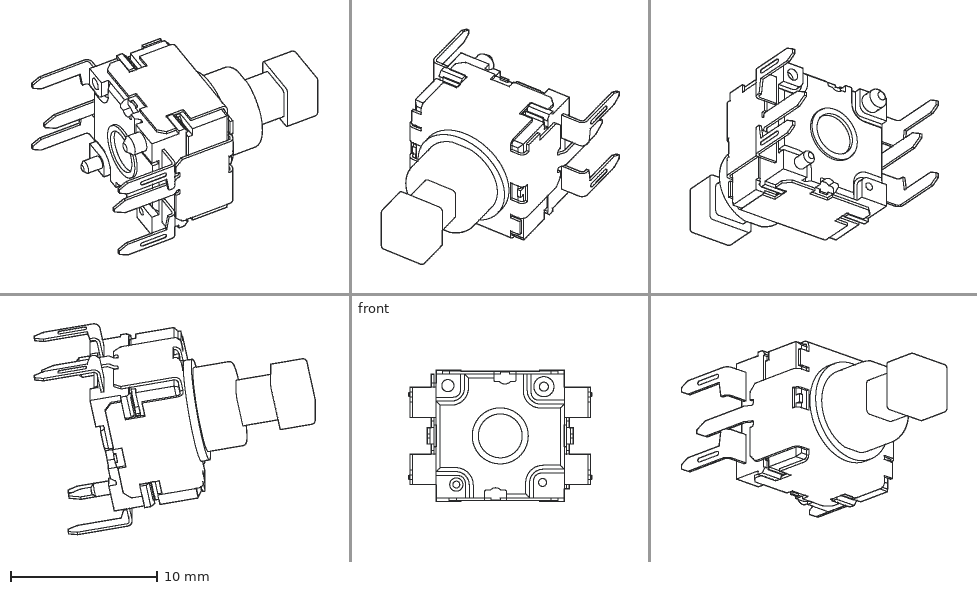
import cadquery as cq
import math

SHEET = 0.2
BEND_OUTER = 0.43
BEND_INNER = BEND_OUTER - SHEET

BODY_HALF_X = 4.38
BODY_HALF_Z = 4.24
BODY_BACK = 6.14
BODY_BACK_CHAMFER = 0.27
GROOVE_FLOOR = 0.55
FACE_Y = 0.22
FACE_SLOPE = 0.27
PAD_MARGIN = 0.27
PAD_RADIUS = 0.5
GROOVE_RADIUS = 0.92
PADS = [(-2.72, 2.65), (2.12, 2.45), (-2.39, -2.72), (2.28, -2.55)]

LARGE_PEG = (2.99, 3.37)
LARGE_PEG_RADIUS = 0.69
LARGE_PEG_TAPER = -0.9
LARGE_PEG_TIP_RADIUS = 0.3
SMALL_PEG = (-3.0, -3.33)
SMALL_PEG_RADIUS = 0.45
SMALL_PEG_TAPER = -1.09
SMALL_PEG_TIP_RADIUS = 0.24
PEG_TIP = -1.32
LARGE_HOLE = (-3.58, 3.44)
LARGE_HOLE_RADIUS = 0.42
SMALL_HOLE = (2.9, -3.19)
SMALL_HOLE_RADIUS = 0.27
HOLE_DEPTH = 0.55

RING_OUTER_R = 1.92
RING_INNER_R = 1.5
RING_TOP = 0.04
RING_FLOOR = 0.33

JOINT_START = 2.7
JOINT_END = 2.86
JOINT_DEPTH = 0.33
HOOK_INNER_X = 2.68
HOOK_Z = 4.498
HOOK_START = 2.12
HOOK_CREST = 2.55
HOOK_END = 2.85
HOOK_RAMP = 0.35
SLOT_END = 3.19
SLOT_INNER_X = 2.62
SLOT_FLOOR_Z = 3.64
SLOT_CHAMFER = 0.35
RIB_START_X = 3.62
RIB_Z = 4.42
RIB_END = 5.85

NOTCH_LEFT = -0.43
NOTCH_RIGHT = 1.07
NOTCH_MIDDLE = (NOTCH_LEFT + NOTCH_RIGHT) / 2
NOTCH_FLOOR_Z = 3.71
NOTCH_BACK = 0.8
NOTCH_CORNER_RADIUS = 0.1
NOTCH_BULGE_RADIUS = 0.5
NOTCH_BULGE_Z = 4.05
TOOTH_WIDTH = 0.63
TOOTH_BACK = 0.96
TOOTH_Z = 4.38

FRAME_BACK = BODY_BACK + SHEET
COVER_HALF_X = 3.611
COVER_FRONT = 0.89
COVER_LUG_HALF_X = 3.96
COVER_SHORT_LUG_X = 3.5
COVER_LUG_CHAMFER = 0.49
COVER_NOTCHED_HALF_X = 2.55
COVER_STEP = 3.48
COVER_NOTCH_END = 1.45
FLAP_X = 4.72
FLAP_FRONT = 1.7
FLAP_BOTTOM = -2.1
FLAP_TOP = 3.62
FLAP_CHAMFER = 0.5
FLAP_SLOT_HALF = 0.75
FLAP_SLOT_X = 3.44
FLAP_SLOT_FRONT = 5.86
FLAP_RELIEF_WIDTH = 0.43
FLAP_RELIEF_RADIUS = 0.15
FLAP_RELIEF_END = 2.03
TAB_START = 4.29
TAB_END = 5.72
TAB_TOP = 4.22
EAR_BOTTOM = -3.58
EAR_TOP = -2.39
NUB_HALF = 0.3
NUB_BACK = 6.23

MID_WIDTH = 1.14
MID_JOG = 0.27
MID_JOG_START = 1.81
MID_JOG_END = 1.43
MID_JOG_RADIUS = 0.33
MID_TAPER = -2.43
MID_TIP = -3.25
MID_TIP_WIDTH = 0.27

LEG_X = 6.19
LEG_ARM_BACK = 0.98
LEG_WIDE_END = 0.35
LEG_ROOT = 0.16
LEG_LOW_Z = 1.25
LEG_HIGH_Z = 3.33
LEG_WIDTH = 1.0
LEG_TAPER = -2.9
LEG_TIP = -3.53
LEG_TIP_WIDTH = 0.33
BEAD_HEIGHT = 0.081
BEAD_ROUNDING = 0.07
BEAD_WIDTH = 0.29
BEAD_START = 0.13
BEAD_END = -1.88

FLANGE_DIAMETER = 7.0
FLANGE_BACK = 6.9
BUSHING_DIAMETER = 5.85
BUSHING_FLATS = 5.67
BUSHING_BACK = 9.6
SHAFT_SIDE = 2.5
HEAD_SIDE = 3.51
HEAD_FRONT = 12.09
HEAD_BACK = 14.57
EDGE_RADIUS = 0.29


def box(x0, x1, y0, y1, z0, z1):
    return cq.Workplane("XY").box(x1 - x0, y1 - y0, z1 - z0, centered=False).translate((x0, y0, z0))


def turned_pair(shape):
    """The shape together with its copy turned half a revolution about the button axis."""
    return shape.union(shape.rotate((0, 0, 0), (0, 1, 0), 180))


def mirrored_x(shape):
    return shape.union(shape.mirror("YZ"))


def mirrored_z(shape):
    return shape.union(shape.mirror("XY"))


def rod(x, z, radius, y0, y1):
    """Cylinder along Y from y0 up to y1."""
    return cq.Workplane("XZ", origin=(x, y0, z)).circle(radius).extrude(y0 - y1)


def corner_block(corner, margin, radius, y0, y1, overhang=0.0):
    """Block over one corner of the mounting side, its rounded inner corner moved inwards by margin."""
    x, z = corner
    side = math.copysign(1, x)
    rise = math.copysign(1, z)
    xs = sorted((x - side * margin, side * (BODY_HALF_X + overhang)))
    zs = sorted((z - rise * margin, rise * (BODY_HALF_Z + overhang)))
    inner_x = "<X" if side > 0 else ">X"
    inner_z = "<Z" if rise > 0 else ">Z"
    block = box(*xs, y0, y1, *zs)
    return block.faces(inner_x).edges(inner_z).fillet(radius)


def raised_face():
    """Middle of the mounting side, sloping down towards the pads, the ends and part of the long edges."""
    height = GROOVE_FLOOR - FACE_Y
    slope_angle = math.degrees(math.atan2(FACE_SLOPE, height))
    face = box(-BODY_HALF_X, BODY_HALF_X, FACE_Y, GROOVE_FLOOR, -BODY_HALF_Z, BODY_HALF_Z)
    end_slope = (
        cq.Workplane("XY")
        .polyline([
            (BODY_HALF_X, GROOVE_FLOOR),
            (BODY_HALF_X, FACE_Y),
            (BODY_HALF_X - FACE_SLOPE, FACE_Y),
        ])
        .close()
        .extrude(BODY_HALF_Z, both=True)
    )
    face = face.cut(mirrored_x(end_slope))
    edge_slope = (
        cq.Workplane("YZ", origin=(PADS[0][0], 0, 0))
        .polyline([
            (GROOVE_FLOOR, BODY_HALF_Z),
            (FACE_Y, BODY_HALF_Z),
            (FACE_Y, BODY_HALF_Z - FACE_SLOPE),
        ])
        .close()
        .extrude(NOTCH_LEFT - PADS[0][0])
    )
    face = face.cut(turned_pair(edge_slope))
    for corner in PADS:
        recess = corner_block(corner, PAD_MARGIN, GROOVE_RADIUS, GROOVE_FLOOR, BODY_BACK, FACE_SLOPE)
        footprint = recess.faces("<Y")
        clearance = (
            footprint.workplane()
            .add(footprint.wires().vals())
            .toPending()
            .extrude(height, combine=False, taper=-slope_angle)
        )
        face = face.cut(clearance)
    return face


def latch_notch():
    """Cutter for the notch in the upper long edge."""
    notch = box(NOTCH_LEFT, NOTCH_RIGHT, 0, NOTCH_BACK, NOTCH_FLOOR_Z, HOOK_Z)
    notch = notch.faces("<Z").edges("|Y").fillet(NOTCH_CORNER_RADIUS)
    return notch.union(rod(NOTCH_MIDDLE, NOTCH_BULGE_Z, NOTCH_BULGE_RADIUS, 0, NOTCH_BACK))


def latch_tooth():
    """Small tooth standing on the upper long side, right behind the notch."""
    half = TOOTH_WIDTH / 2
    return box(NOTCH_MIDDLE - half, NOTCH_MIDDLE + half, NOTCH_BACK, TOOTH_BACK, NOTCH_FLOOR_Z, TOOTH_Z)


def hooks():
    profile = [
        (HOOK_START, BODY_HALF_Z - HOOK_RAMP),
        (HOOK_START, HOOK_Z),
        (HOOK_CREST, HOOK_Z),
        (HOOK_END, HOOK_Z - HOOK_RAMP),
    ]
    hook = (
        cq.Workplane("YZ", origin=(HOOK_INNER_X, 0, 0))
        .polyline(profile)
        .close()
        .extrude(BODY_HALF_X - HOOK_INNER_X)
    )
    return mirrored_z(mirrored_x(hook))


def hook_slots():
    """Cutters for the slots behind the hooks and the joint grooves in the ends."""
    slot = box(SLOT_INNER_X, BODY_HALF_X, JOINT_END, SLOT_END, SLOT_FLOOR_Z, HOOK_Z)
    slot = slot.faces("<X").edges("<Z").chamfer(SLOT_CHAMFER)
    joint = box(
        BODY_HALF_X - JOINT_DEPTH, BODY_HALF_X, JOINT_START, JOINT_END, -BODY_HALF_Z, BODY_HALF_Z
    )
    return mirrored_z(mirrored_x(slot)).union(mirrored_x(joint))


def body():
    block = box(-BODY_HALF_X, BODY_HALF_X, GROOVE_FLOOR, BODY_BACK, -BODY_HALF_Z, BODY_HALF_Z)
    block = block.faces(">Y").chamfer(BODY_BACK_CHAMFER)
    block = block.union(raised_face())
    for corner in PADS:
        block = block.union(corner_block(corner, 0, PAD_RADIUS, 0, GROOVE_FLOOR))
    rib = box(-BODY_HALF_X, -RIB_START_X, JOINT_END, RIB_END, -RIB_Z, 0)
    block = block.union(rib)
    nub_depth = BODY_BACK_CHAMFER
    nub = box(
        BODY_HALF_X - nub_depth, BODY_HALF_X, RIB_END - nub_depth, NUB_BACK, -NUB_HALF, NUB_HALF
    )
    block = block.union(mirrored_x(nub))
    block = block.cut(hook_slots()).cut(turned_pair(latch_notch()))
    block = block.union(turned_pair(latch_tooth())).union(hooks())
    ring = rod(0, 0, RING_OUTER_R, RING_TOP, GROOVE_FLOOR)
    block = block.union(ring).cut(rod(0, 0, RING_INNER_R, RING_TOP, RING_FLOOR))
    block = block.cut(rod(*LARGE_HOLE, LARGE_HOLE_RADIUS, 0, HOLE_DEPTH))
    return block.cut(rod(*SMALL_HOLE, SMALL_HOLE_RADIUS, 0, HOLE_DEPTH))


def peg(place, radius, taper_start, tip_radius):
    """Round locating peg with a conical tip."""
    x, z = place
    profile = [
        (0, GROOVE_FLOOR),
        (radius, GROOVE_FLOOR),
        (radius, taper_start),
        (tip_radius, PEG_TIP),
        (0, PEG_TIP),
    ]
    return cq.Workplane("XY").polyline(profile).close().revolve().translate((x, 0, z))


def blade(x0, x1, root, taper_start, tip, width, tip_width):
    """Flat pin along Y, centred on Z = 0, whose end tapers to tip_width."""
    outline = [
        (root, -width / 2),
        (root, width / 2),
        (taper_start, width / 2),
        (tip, tip_width / 2),
        (tip, -tip_width / 2),
        (taper_start, -width / 2),
    ]
    return cq.Workplane("YZ", origin=(x0, 0, 0)).polyline(outline).close().extrude(x1 - x0)


def cover_front(right_x):
    """Front part of the upper cover plate, whose lug reaches right_x on the right."""
    outer_z = BODY_HALF_Z + SHEET
    lug = box(-COVER_LUG_HALF_X, right_x, COVER_FRONT, HOOK_START, BODY_HALF_Z, outer_z)
    lug = lug.faces("<Y").edges("|Z").chamfer(COVER_LUG_CHAMFER)
    lug = lug.cut(box(NOTCH_LEFT, NOTCH_RIGHT, COVER_FRONT, COVER_NOTCH_END, BODY_HALF_Z, outer_z))
    neck = box(
        -COVER_NOTCHED_HALF_X, COVER_NOTCHED_HALF_X, HOOK_START, COVER_STEP, BODY_HALF_Z, outer_z
    )
    return lug.union(neck)


def cover():
    """Frame plate over the two long sides, bent over the back of the body."""
    outer_z = BODY_HALF_Z + SHEET
    outer = box(-COVER_HALF_X, COVER_HALF_X, COVER_STEP, FRAME_BACK, -outer_z, outer_z)
    inner = box(-COVER_HALF_X, COVER_HALF_X, COVER_STEP, BODY_BACK, -BODY_HALF_Z, BODY_HALF_Z)
    outer = outer.faces(">Y").edges("|X").fillet(BEND_OUTER)
    inner = inner.faces(">Y").edges("|X").fillet(BEND_INNER)
    lower_front = cover_front(COVER_SHORT_LUG_X).rotate((0, 0, 0), (0, 1, 0), 180)
    return outer.cut(inner).union(cover_front(COVER_LUG_HALF_X)).union(lower_front)


def flap():
    """Left side flap of the frame with its back strip and middle terminal."""
    inner_x = FLAP_X - SHEET
    outer = box(-FLAP_X, 0, FLAP_FRONT, FRAME_BACK, FLAP_BOTTOM, FLAP_TOP)
    outer = outer.faces(">Y").edges("<X").fillet(BEND_OUTER)
    outer = outer.faces("<Y").edges("|X").chamfer(FLAP_CHAMFER)
    inner = box(-inner_x, 0, FLAP_FRONT, BODY_BACK, FLAP_BOTTOM, FLAP_TOP)
    inner = inner.faces(">Y").edges("<X").fillet(BEND_INNER)
    plate = outer.cut(inner)
    bend_slot = box(
        -FLAP_X, -FLAP_SLOT_X, FLAP_SLOT_FRONT, FRAME_BACK, -FLAP_SLOT_HALF, FLAP_SLOT_HALF
    )
    plate = plate.cut(bend_slot)
    relief_z = (MID_WIDTH + FLAP_RELIEF_WIDTH) / 2
    relief = box(
        -FLAP_X, -inner_x, FLAP_FRONT, FLAP_RELIEF_END,
        relief_z - FLAP_RELIEF_WIDTH / 2, relief_z + FLAP_RELIEF_WIDTH / 2,
    )
    relief = relief.faces(">Y").edges("|X").fillet(FLAP_RELIEF_RADIUS)
    plate = plate.cut(mirrored_z(relief))
    ear = box(-BODY_HALF_X, 0, BODY_BACK, FRAME_BACK, EAR_BOTTOM, EAR_TOP)
    return plate.union(ear).union(middle_terminal())


def middle_terminal():
    inner_x = FLAP_X - SHEET
    rise = SHEET / 2
    strip = (
        cq.Workplane("XY")
        .polyline([
            (-inner_x, FLAP_RELIEF_END),
            (-FLAP_X, FLAP_RELIEF_END),
            (-FLAP_X, MID_JOG_START),
            (-FLAP_X - MID_JOG, MID_JOG_END),
            (-FLAP_X - MID_JOG, MID_TIP),
            (-inner_x - MID_JOG, MID_TIP),
            (-inner_x - MID_JOG, MID_JOG_END - rise),
            (-inner_x, MID_JOG_START - rise),
        ])
        .close()
        .extrude(MID_WIDTH / 2, both=True)
    )
    jog = cq.selectors.BoxSelector(
        (-LEG_X, MID_JOG_END - SHEET, -MID_WIDTH), (0, FLAP_RELIEF_END - rise, MID_WIDTH)
    )
    strip = strip.edges("|Z").edges(jog).fillet(MID_JOG_RADIUS)
    return strip.intersect(
        blade(-LEG_X, 0, FLAP_RELIEF_END, MID_TAPER, MID_TIP, MID_WIDTH, MID_TIP_WIDTH)
    )


def flap_tab():
    """Short lip on the upper edge of the left flap only."""
    return box(-FLAP_X, SHEET - FLAP_X, TAB_START, TAB_END, FLAP_TOP, TAB_TOP)


def corner_terminal():
    """Terminal at the upper right: arm out of the body, bend, and a pointed leg with a bead."""
    inner_x = LEG_X - SHEET
    arm_front = LEG_ARM_BACK - SHEET
    outer = box(BODY_HALF_X - SHEET, LEG_X, LEG_ROOT, LEG_ARM_BACK, LEG_LOW_Z, LEG_HIGH_Z)
    inner = box(BODY_HALF_X - SHEET, inner_x, LEG_ROOT, arm_front, LEG_LOW_Z, LEG_HIGH_Z)
    outer = outer.faces(">Y").edges(">X").fillet(BEND_OUTER)
    inner = inner.faces(">Y").edges(">X").fillet(BEND_INNER)
    bracket = outer.cut(inner)
    step = (
        cq.Workplane("YZ")
        .polyline([
            (LEG_ROOT, LEG_LOW_Z),
            (LEG_WIDE_END, LEG_LOW_Z),
            (LEG_ROOT, LEG_HIGH_Z - LEG_WIDTH),
        ])
        .close()
        .extrude(LEG_X)
    )
    bracket = bracket.cut(step)
    leg_z = LEG_HIGH_Z - LEG_WIDTH / 2
    leg = blade(inner_x, LEG_X, LEG_ROOT, LEG_TAPER, LEG_TIP, LEG_WIDTH, LEG_TIP_WIDTH)
    leg = leg.translate((0, 0, leg_z))
    bead = (
        cq.Workplane("YZ", origin=(LEG_X, (BEAD_START + BEAD_END) / 2, leg_z))
        .slot2D(BEAD_START - BEAD_END, BEAD_WIDTH)
        .extrude(BEAD_HEIGHT)
        .faces(">X")
        .fillet(BEAD_ROUNDING)
    )
    return bracket.union(leg).union(bead)


def bushing():
    flange = rod(0, 0, FLANGE_DIAMETER / 2, BODY_BACK, FLANGE_BACK)
    barrel = rod(0, 0, BUSHING_DIAMETER / 2, FLANGE_BACK, BUSHING_BACK)
    half = BUSHING_DIAMETER / 2
    barrel = barrel.intersect(
        box(-half, half, FLANGE_BACK, BUSHING_BACK, -BUSHING_FLATS / 2, BUSHING_FLATS / 2)
    )
    return flange.union(barrel.faces(">Y").fillet(EDGE_RADIUS))


def square_bar(side, y0, y1):
    half = side / 2
    return box(-half, half, y0, y1, -half, half).edges("|Y").fillet(EDGE_RADIUS)


def button():
    shaft = square_bar(SHAFT_SIDE, FLANGE_BACK, HEAD_FRONT)
    head = square_bar(HEAD_SIDE, HEAD_FRONT, HEAD_BACK).faces(">Y").edges().fillet(EDGE_RADIUS)
    return shaft.union(head)


result = (
    body()
    .union(peg(LARGE_PEG, LARGE_PEG_RADIUS, LARGE_PEG_TAPER, LARGE_PEG_TIP_RADIUS))
    .union(peg(SMALL_PEG, SMALL_PEG_RADIUS, SMALL_PEG_TAPER, SMALL_PEG_TIP_RADIUS))
    .union(cover())
    .union(turned_pair(flap()))
    .union(flap_tab())
    .union(mirrored_z(mirrored_x(corner_terminal())))
    .union(bushing())
    .union(button())
)